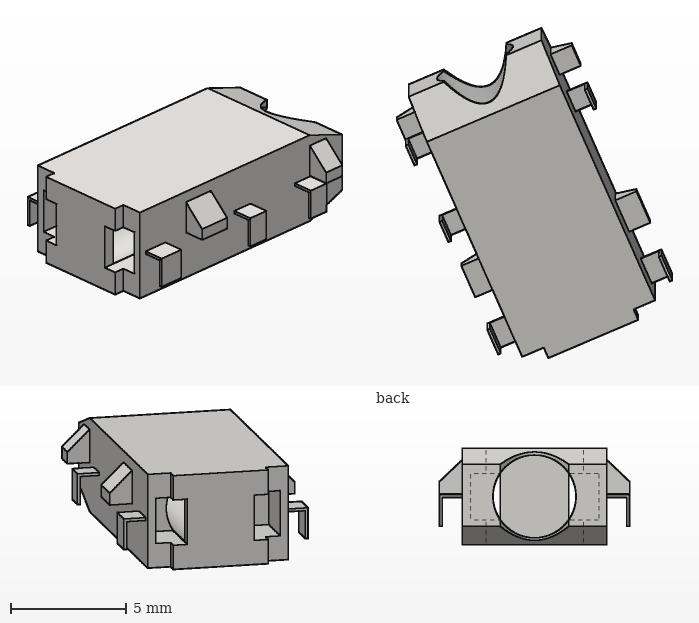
import cadquery as cq

LENGTH = 12.9
WIDTH = 6.3
HEIGHT = 4.2
BACK_Y = LENGTH / 2
FRONT_Y = -LENGTH / 2
SIDE_X = WIDTH / 2
TOP_Z = HEIGHT / 2

PLATE_WIDTH = 4.26
PLATE_THICKNESS = 0.5
SHOULDER_Y = FRONT_Y + PLATE_THICKNESS

TAPER_LENGTH = 2.0
TOP_TAPER_DROP = 0.7
BOTTOM_TAPER_RISE = 0.8

BORE_DIAMETER = 3.6

SLOT_INNER_X = 1.5
SLOT_OUTER_X = 2.79
SLOT_HEIGHT = 2.03
SLOT_DEPTH = 2.58

NOTCH_HALF_WIDTH = 1.48
NOTCH_DEPTH = 1.51

WEDGE_OUTER_X = 8.3 / 2
WEDGE_BOTTOM_Z = 0.1
WEDGE_LIP_Z = 0.63
WEDGE_TOP_Z = 1.59
WEDGE_SPANS = [(4.46, 5.46), (-3.12, -1.6)]

TERMINAL_OUTER_X = 4.13
TERMINAL_TOP_Z = 0.08
TERMINAL_BOTTOM_Z = -1.3
TERMINAL_THICKNESS = 0.13
FRONT_TERMINAL_SPAN = (-5.59, -4.39)
LEFT_TERMINAL_SPANS = [(2.72, 3.69), FRONT_TERMINAL_SPAN]
RIGHT_TERMINAL_SPANS = [(3.55, 4.52), (-0.15, 0.83), FRONT_TERMINAL_SPAN]

LEFT = -1
RIGHT = 1


def extrude_along_y(points, side, span):
    """Extrude an XZ outline, drawn for the +X side, over a span of Y."""
    start_y, end_y = span
    outline = [(side * x, z) for x, z in points]
    return (
        cq.Workplane("XZ", origin=(0, end_y, 0))
        .polyline(outline)
        .close()
        .extrude(end_y - start_y)
    )


def make_shell():
    """Block with a tapered back end and the plate on its front."""
    taper_y = BACK_Y - TAPER_LENGTH
    side_outline = [
        (SHOULDER_Y, -TOP_Z),
        (taper_y, -TOP_Z),
        (BACK_Y, -TOP_Z + BOTTOM_TAPER_RISE),
        (BACK_Y, TOP_Z - TOP_TAPER_DROP),
        (taper_y, TOP_Z),
        (SHOULDER_Y, TOP_Z),
    ]
    block = (
        cq.Workplane("YZ").polyline(side_outline).close().extrude(SIDE_X, both=True)
    )
    plate = cq.Workplane("XZ", origin=(0, SHOULDER_Y, 0)).rect(PLATE_WIDTH, HEIGHT)
    return block.union(plate.extrude(PLATE_THICKNESS))


def make_bore():
    return (
        cq.Workplane("XZ", origin=(0, BACK_Y, 0))
        .circle(BORE_DIAMETER / 2)
        .extrude(BACK_Y - SHOULDER_Y)
    )


def make_slot(side):
    half_height = SLOT_HEIGHT / 2
    outline = [
        (SLOT_INNER_X, -half_height),
        (SLOT_OUTER_X, -half_height),
        (SLOT_OUTER_X, half_height),
        (SLOT_INNER_X, half_height),
    ]
    return extrude_along_y(outline, side, (FRONT_Y, FRONT_Y + SLOT_DEPTH))


def make_notch():
    """Parabolic notch cut along Z, drawn as a quadratic Bezier curve."""
    control_y = BACK_Y - 2 * NOTCH_DEPTH
    return (
        cq.Workplane("XY")
        .moveTo(-NOTCH_HALF_WIDTH, BACK_Y)
        .bezier([(0, control_y), (NOTCH_HALF_WIDTH, BACK_Y)], includeCurrent=True)
        .close()
        .extrude(TOP_Z, both=True)
    )


def make_wedge(side, span):
    outline = [
        (SIDE_X, WEDGE_BOTTOM_Z),
        (WEDGE_OUTER_X, WEDGE_BOTTOM_Z),
        (WEDGE_OUTER_X, WEDGE_LIP_Z),
        (SIDE_X, WEDGE_TOP_Z),
    ]
    return extrude_along_y(outline, side, span)


def make_housing():
    housing = make_shell().cut(make_bore()).cut(make_notch())
    for side in (LEFT, RIGHT):
        housing = housing.cut(make_slot(side))
        for span in WEDGE_SPANS:
            housing = housing.union(make_wedge(side, span))
    return housing


def make_terminal(side, span):
    """L-shaped strip that leaves the housing side and bends down."""
    underside_z = TERMINAL_TOP_Z - TERMINAL_THICKNESS
    leg_inner_x = TERMINAL_OUTER_X - TERMINAL_THICKNESS
    outline = [
        (SIDE_X, TERMINAL_TOP_Z),
        (TERMINAL_OUTER_X, TERMINAL_TOP_Z),
        (TERMINAL_OUTER_X, TERMINAL_BOTTOM_Z),
        (leg_inner_x, TERMINAL_BOTTOM_Z),
        (leg_inner_x, underside_z),
        (SIDE_X, underside_z),
    ]
    return extrude_along_y(outline, side, span)


housing = make_housing()

terminals = []
for side, spans in ((LEFT, LEFT_TERMINAL_SPANS), (RIGHT, RIGHT_TERMINAL_SPANS)):
    for span in spans:
        terminals.append(make_terminal(side, span).val())

result = cq.Compound.makeCompound([housing.val(), *terminals])